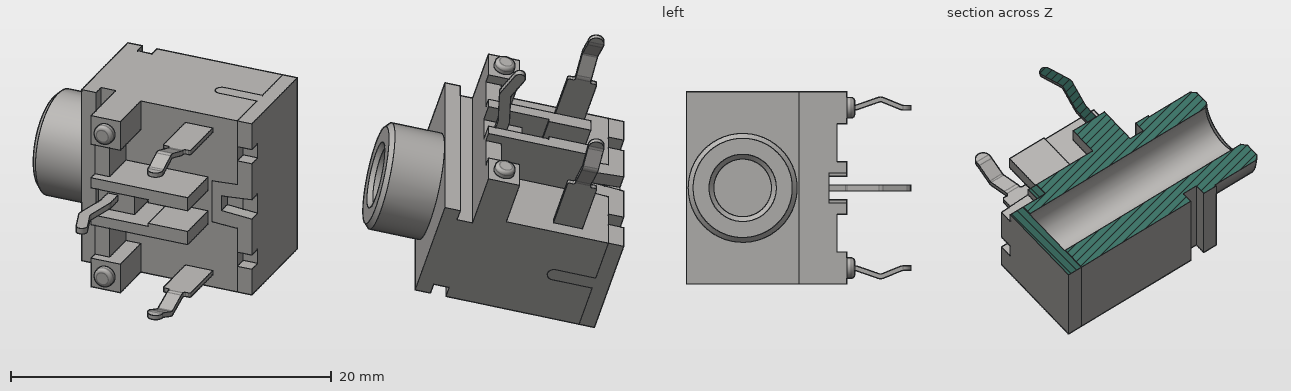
import cadquery as cq
import math


TOTAL_LENGTH = 15.1
FLANGE_X = 3.5
GROOVE_X = 4.5
BODY_X = 5.5
COVER_THICKNESS = 1.0
COVER_X = TOTAL_LENGTH - COVER_THICKNESS

TOTAL_HEIGHT = 14.0
FLANGE_HALF_HEIGHT = 3.5
BODY_BOTTOM_Y = -3.4
FOOT_Y = -6.5
PIN_TIP_Y = FLANGE_HALF_HEIGHT - TOTAL_HEIGHT
WIDTH = 12.0
HALF_WIDTH = WIDTH / 2

SLEEVE_RADIUS = 3.4
BORE_RADIUS = 1.8
MOUTH_CHAMFER = 0.3
GROOVE_DEPTH = 0.75

FOOT_SIZE = 2.01
WALL_THICKNESS = 1.0
WALL_Y = -5.89
PEG_X = 6.5
PEG_Z = 5.0
PEG_RADIUS = 0.65
PEG_HEIGHT = 0.5
PEG_FILLET = 0.24
RIB_END_X = 12.11
RIB_STEP_X = 9.4
RIB_OUTER_Z = 1.65
RIB_INNER_Z = 0.94
RIB_THICK_INNER_Z = 0.72
POCKET_Y = -5.39
POCKET_END_X = 7.97

SIDE_TONGUE_WIDTH = 0.85
SIDE_TONGUE_TIP_X = 11.1
SIDE_TONGUE_DEPTH = 1.0
LOWER_TONGUE_TIP_X = 12.38
LOWER_TONGUE_TIP_HALF = 1.43
LOWER_TONGUE_ROOT_HALF = 1.54
NOTCH_FLOOR_Y = -2.5
NOTCH_TIP_X = 13.02
NOTCH_TIP_HALF = 0.51
NOTCH_REAR_HALF = 0.68
SIDE_NOTCH_Z = 3.7
SIDE_NOTCH_WIDTH = 1.0

BEND_PEAK_Y = -8.6
BEND_ZONE = 0.23

SIDE_TERMINAL_X = 11.49
SIDE_TERMINAL_Z = 5.0
SIDE_TERMINAL_THICKNESS = 0.3
PLATE_WIDTH = 1.87
SHOULDER_Y = -6.8
SHOULDER_FILLET = 0.12
SIDE_PIN_WIDTH = 0.98
SIDE_BEND_OFFSET = 0.55
SIDE_BEND_START_Y = -7.04
SIDE_BEND_END_Y = -9.94
PEAK_INNER_RADIUS = 0.18
SHALLOW_INNER_RADIUS = 0.48

CENTRE_BEND_RADIUS = 0.48
CENTRE_PIN_WIDTH = 0.71
CENTRE_PIN_THICKNESS = 0.4
CENTRE_BEND_PEAK_X = 6.0
CENTRE_PIN_TIP_X = 6.51


def box(x0, x1, y0, y1, z0, z1):
    """Axis-aligned block between the given limits."""
    return cq.Workplane("XY").box(x1 - x0, y1 - y0, z1 - z0, centered=False).translate((x0, y0, z0))


def lower_block(points, y0, y1):
    """Block with an (X, Z) outline that spans the levels y0 < y1."""
    return cq.Workplane("XZ", origin=(0, y1, 0)).polyline(points).close().extrude(y1 - y0)


def trapezoid(x0, half0, x1, half1):
    """Outline symmetric about Z = 0 whose half width goes from half0 at x0 to half1 at x1."""
    return [(x0, -half0), (x1, -half1), (x1, half1), (x0, half0)]


def strip_outline(path, width):
    """Outline of a strip of constant width along a bent centre line, with mitred bends."""
    directions = [math.atan2(b[1] - a[1], b[0] - a[0]) for a, b in zip(path, path[1:])]
    left = []
    right = []
    for i, (u, v) in enumerate(path):
        before = directions[max(i - 1, 0)]
        after = directions[min(i, len(directions) - 1)]
        normal = (before + after) / 2 + math.pi / 2
        reach = width / 2 / math.cos((after - before) / 2)
        du = reach * math.cos(normal)
        dv = reach * math.sin(normal)
        left.append((u + du, v + dv))
        right.append((u - du, v - dv))
    return left + right[::-1]


def round_edges(solid, direction, y, reach, radius, z0=-WIDTH, z1=WIDTH):
    """Fillet the edges along a direction that lie within reach of level y and between z0 and z1."""
    zone = cq.selectors.BoxSelector((0, y - reach, z0), (TOTAL_LENGTH, y + reach, z1))
    return solid.edges(direction).edges(zone).fillet(radius)


def side_tongue(side):
    """Round-nosed tongue of the cover, flush with the side face at +Z (side = 1) or -Z (side = -1)."""
    radius = SIDE_TONGUE_WIDTH / 2
    nose_x = SIDE_TONGUE_TIP_X + radius
    return (
        cq.Workplane("XY", origin=(0, 0, side * HALF_WIDTH))
        .moveTo(COVER_X, -radius)
        .lineTo(nose_x, -radius)
        .threePointArc((SIDE_TONGUE_TIP_X, 0), (nose_x, radius))
        .lineTo(COVER_X, radius)
        .close()
        .extrude(-side * SIDE_TONGUE_DEPTH)
    )


def lower_tongue():
    """Tapered tongue of the cover, flush with the lower face of the body."""
    outline = trapezoid(LOWER_TONGUE_TIP_X, LOWER_TONGUE_TIP_HALF, COVER_X, LOWER_TONGUE_ROOT_HALF)
    return lower_block(outline, BODY_BOTTOM_Y, NOTCH_FLOOR_Y)


def make_rib(side):
    """Long rib beside the centre terminal; its rear part is thicker toward the middle."""
    outline = [
        (BODY_X, side * RIB_OUTER_Z),
        (RIB_END_X, side * RIB_OUTER_Z),
        (RIB_END_X, side * RIB_THICK_INNER_Z),
        (RIB_STEP_X, side * RIB_THICK_INNER_Z),
        (RIB_STEP_X, side * RIB_INNER_Z),
        (BODY_X, side * RIB_INNER_Z),
    ]
    return lower_block(outline, FOOT_Y, BODY_BOTTOM_Y)


def make_foot(side):
    """Corner foot with a round locating peg."""
    inner_z = side * (HALF_WIDTH - FOOT_SIZE)
    outer_z = side * HALF_WIDTH
    foot = lower_block(
        [
            (BODY_X, inner_z),
            (BODY_X + FOOT_SIZE, inner_z),
            (BODY_X + FOOT_SIZE, outer_z),
            (BODY_X, outer_z),
        ],
        FOOT_Y,
        BODY_BOTTOM_Y,
    )
    peg = (
        cq.Workplane("XZ", origin=(PEG_X, FOOT_Y, side * PEG_Z))
        .circle(PEG_RADIUS)
        .extrude(PEG_HEIGHT)
        .faces("<Y")
        .edges()
        .fillet(PEG_FILLET)
    )
    return foot.union(peg)


def make_housing():
    neck_half = FLANGE_HALF_HEIGHT - GROOVE_DEPTH
    sleeve = cq.Workplane("YZ").circle(SLEEVE_RADIUS).extrude(FLANGE_X).faces("<X").chamfer(MOUTH_CHAMFER)
    flange = box(FLANGE_X, GROOVE_X, -FLANGE_HALF_HEIGHT, FLANGE_HALF_HEIGHT, -HALF_WIDTH, HALF_WIDTH)
    neck = box(GROOVE_X, BODY_X, -neck_half, neck_half, -HALF_WIDTH, HALF_WIDTH)
    body = box(BODY_X, COVER_X, BODY_BOTTOM_Y, FLANGE_HALF_HEIGHT, -HALF_WIDTH, HALF_WIDTH)
    housing = sleeve.union(flange).union(neck).union(body)

    wall = box(BODY_X, BODY_X + WALL_THICKNESS, WALL_Y, BODY_BOTTOM_Y, -HALF_WIDTH, HALF_WIDTH)
    wall = wall.cut(box(BODY_X, POCKET_END_X, WALL_Y, POCKET_Y, -RIB_INNER_Z, RIB_INNER_Z))
    pocket_block = box(BODY_X, POCKET_END_X, POCKET_Y, BODY_BOTTOM_Y, -RIB_INNER_Z, RIB_INNER_Z)
    housing = housing.union(wall).union(pocket_block)

    for side in (-1, 1):
        housing = housing.union(make_foot(side)).union(make_rib(side)).cut(side_tongue(side))
    housing = housing.cut(lower_tongue())

    bore = cq.Workplane("YZ").circle(BORE_RADIUS).extrude(COVER_X)
    mouth_section = [
        (0, 0),
        (0, BORE_RADIUS + MOUTH_CHAMFER),
        (MOUTH_CHAMFER, BORE_RADIUS),
        (MOUTH_CHAMFER, 0),
    ]
    mouth = cq.Workplane("XY").polyline(mouth_section).close().revolve(360, (0, 0, 0), (1, 0, 0))
    return housing.cut(bore).cut(mouth)


def make_cover():
    cover = box(COVER_X, TOTAL_LENGTH, BODY_BOTTOM_Y, FLANGE_HALF_HEIGHT, -HALF_WIDTH, HALF_WIDTH)
    cover = cover.union(lower_tongue())
    notch = trapezoid(NOTCH_TIP_X, NOTCH_TIP_HALF, TOTAL_LENGTH, NOTCH_REAR_HALF)
    cover = cover.cut(lower_block(notch, BODY_BOTTOM_Y, NOTCH_FLOOR_Y))
    for side in (-1, 1):
        z0 = side * SIDE_NOTCH_Z - SIDE_NOTCH_WIDTH / 2
        side_notch = box(COVER_X, TOTAL_LENGTH, BODY_BOTTOM_Y, NOTCH_FLOOR_Y, z0, z0 + SIDE_NOTCH_WIDTH)
        cover = cover.union(side_tongue(side)).cut(side_notch)
    return cover


def make_side_terminal(side):
    """Flat plate narrowing to a pin that kinks outward and ends in a round tip."""
    base_z = side * SIDE_TERMINAL_Z
    path = [
        (BODY_BOTTOM_Y, base_z),
        (SIDE_BEND_START_Y, base_z),
        (BEND_PEAK_Y, base_z + side * SIDE_BEND_OFFSET),
        (SIDE_BEND_END_Y, base_z),
        (PIN_TIP_Y, base_z),
    ]
    outline = strip_outline([(-y, z) for y, z in path], SIDE_TERMINAL_THICKNESS)
    strip = (
        cq.Workplane("YZ", origin=(SIDE_TERMINAL_X - PLATE_WIDTH / 2, 0, 0))
        .polyline([(-v, z) for v, z in outline])
        .close()
        .extrude(PLATE_WIDTH)
    )
    for y, z in path[1:-1]:
        at_peak = y == BEND_PEAK_Y
        inner_radius = PEAK_INNER_RADIUS if at_peak else SHALLOW_INNER_RADIUS
        outer_radius = inner_radius + SIDE_TERMINAL_THICKNESS
        if at_peak == (side > 0):
            below_radius = inner_radius
            above_radius = outer_radius
        else:
            below_radius = outer_radius
            above_radius = inner_radius
        strip = round_edges(strip, "|X", y, BEND_ZONE, below_radius, z1=z)
        strip = round_edges(strip, "|X", y, BEND_ZONE, above_radius, z0=z)

    plate_half = PLATE_WIDTH / 2
    pin_half = SIDE_PIN_WIDTH / 2
    tip_start_y = PIN_TIP_Y + pin_half
    plan = (
        cq.Workplane("XY", origin=(SIDE_TERMINAL_X, 0, -HALF_WIDTH))
        .moveTo(-plate_half, BODY_BOTTOM_Y)
        .lineTo(-plate_half, SHOULDER_Y)
        .lineTo(-pin_half, SHOULDER_Y)
        .lineTo(-pin_half, tip_start_y)
        .threePointArc((0, PIN_TIP_Y), (pin_half, tip_start_y))
        .lineTo(pin_half, SHOULDER_Y)
        .lineTo(plate_half, SHOULDER_Y)
        .lineTo(plate_half, BODY_BOTTOM_Y)
        .close()
        .extrude(WIDTH)
    )
    plan = round_edges(plan, "|Z", SHOULDER_Y, SHOULDER_FILLET, SHOULDER_FILLET)
    return strip.intersect(plan)


def make_centre_terminal():
    """Flat kinked pin standing on the floor between the ribs, with a round tip."""
    tip_y = PIN_TIP_Y + CENTRE_PIN_WIDTH / 2
    path = [
        (PEG_X, POCKET_Y),
        (PEG_X, FOOT_Y),
        (CENTRE_BEND_PEAK_X, BEND_PEAK_Y),
        (CENTRE_PIN_TIP_X, tip_y),
    ]
    plane = cq.Workplane("XY", origin=(0, 0, -CENTRE_PIN_THICKNESS / 2))
    strip = plane.polyline(strip_outline(path, CENTRE_PIN_WIDTH)).close().extrude(CENTRE_PIN_THICKNESS)
    for y in (FOOT_Y, BEND_PEAK_Y):
        strip = round_edges(strip, "|Z", y, BEND_ZONE, CENTRE_BEND_RADIUS)
    tip = plane.center(CENTRE_PIN_TIP_X, tip_y).circle(CENTRE_PIN_WIDTH / 2).extrude(CENTRE_PIN_THICKNESS)
    return strip.union(tip)


housing = make_housing()
cover = make_cover()
centre_terminal = make_centre_terminal()
side_terminals = [make_side_terminal(side) for side in (-1, 1)]

result = cq.Compound.makeCompound(
    [housing.val(), cover.val(), centre_terminal.val(), *[terminal.val() for terminal in side_terminals]]
)